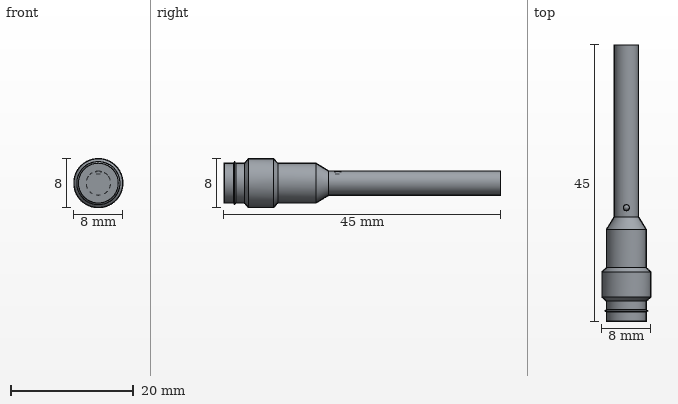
import cadquery as cq

length = 45.0
shaft_radius = 2.0
body_radius = 3.25
collar_radius = 4.0

ridge_crest = 1.7
ridge_half_width = 0.2
collar_front = 3.3
collar_back = 8.75
cone_start = 15.0
cone_end = 17.0

ridge_radius = 3.5
collar_chamfer = 0.68

indicator_radius = 0.5
indicator_y = 18.5
indicator_depth = indicator_radius


def turned_body():
    """Stepped solid of revolution: nose, collar, body, cone and shaft."""
    profile = [
        (0, 0),
        (body_radius, 0),
        (body_radius, ridge_crest - ridge_half_width),
        (ridge_radius, ridge_crest),
        (body_radius, ridge_crest + ridge_half_width),
        (body_radius, collar_front),
        (collar_radius, collar_front + collar_chamfer),
        (collar_radius, collar_back - collar_chamfer),
        (body_radius, collar_back),
        (body_radius, cone_start),
        (shaft_radius, cone_end),
        (shaft_radius, length),
        (0, length),
    ]
    return cq.Workplane("XY").polyline(profile).close().revolve(360, (0, 0, 0), (0, 1, 0))


def indicator_pocket():
    """Round blind hole with a hemispherical dome left standing on its floor."""
    floor_z = shaft_radius - indicator_depth
    hole = (
        cq.Workplane("XY", origin=(0, indicator_y, floor_z))
        .circle(indicator_radius)
        .extrude(2 * indicator_depth)
    )
    dome = cq.Workplane("XY", origin=(0, indicator_y, floor_z)).sphere(indicator_radius)
    return hole.cut(dome)


result = turned_body().cut(indicator_pocket())